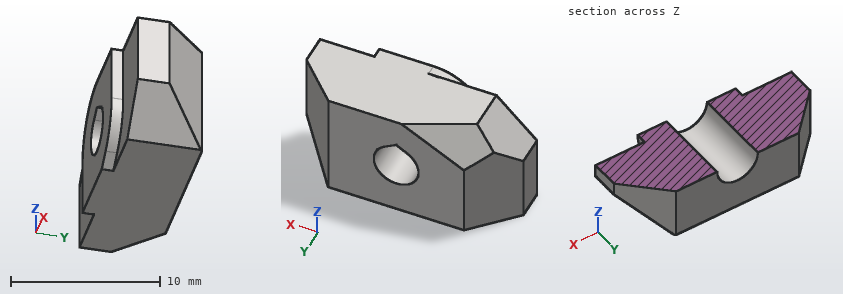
import cadquery as cq
import math

LENGTH = 16.0
HEIGHT = 8.0
BODY_DEPTH = 5.2
BOSS_DEPTH = 0.8

CORNER_CUT = 3.0
LOWER_CUT_LENGTH = 2.88
BACK_CHAMFER = 3.0
FACET_ALONG_X = 4.61
FACET_ALONG_Y = 2.12
FACET_ALONG_Z = 2.46

BOSS_RADIUS = HEIGHT / 2
BOSS_RAMP_ANGLE = 36.0
HOLE_RADIUS = 1.65
HOLE_ROOF_ANGLE = 30.0

HALF_LENGTH = LENGTH / 2
HALF_HEIGHT = HEIGHT / 2
BACK_Y = BODY_DEPTH
FLAT_BACK_HALF = HALF_LENGTH - BACK_CHAMFER
OVERCUT = 4.0
UPPER_LEFT_ARC_MIDDLE = 135.0


def circle_point(radius, angle):
    """Point on a circle about the hole axis, angle in degrees from +X."""
    return (radius * math.cos(math.radians(angle)), radius * math.sin(math.radians(angle)))


def extrude_along_y(outline, start_y, depth):
    """Extrude a closed XZ outline from start_y towards +Y."""
    return outline.extrude(-depth).translate((0, start_y, 0))


def make_body():
    face = cq.Workplane("XZ").polyline([
        (-HALF_LENGTH, -HALF_HEIGHT),
        (HALF_LENGTH - LOWER_CUT_LENGTH, -HALF_HEIGHT),
        (HALF_LENGTH, -HALF_HEIGHT + CORNER_CUT),
        (HALF_LENGTH, HALF_HEIGHT),
        (-HALF_LENGTH + CORNER_CUT, HALF_HEIGHT),
        (-HALF_LENGTH, HALF_HEIGHT - CORNER_CUT),
    ]).close()
    plan = cq.Workplane("XY").polyline([
        (-HALF_LENGTH, 0),
        (HALF_LENGTH, 0),
        (HALF_LENGTH, BACK_Y - BACK_CHAMFER),
        (FLAT_BACK_HALF, BACK_Y),
        (-FLAT_BACK_HALF, BACK_Y),
        (-HALF_LENGTH, BACK_Y - BACK_CHAMFER),
    ]).close().extrude(HALF_HEIGHT, both=True)
    return extrude_along_y(face, 0, BODY_DEPTH).intersect(plan)


def make_facet_cutter():
    """Wedge that removes the upper left back corner along one oblique plane."""
    tip_x = -FLAT_BACK_HALF + FACET_ALONG_X
    base = cq.Workplane("YZ", origin=(tip_x - OVERCUT * FACET_ALONG_X, 0, 0)).polyline([
        (BACK_Y, HALF_HEIGHT),
        (BACK_Y - OVERCUT * FACET_ALONG_Y, HALF_HEIGHT),
        (BACK_Y, HALF_HEIGHT - OVERCUT * FACET_ALONG_Z),
    ]).close().wire().val()
    tip = cq.Vector(tip_x, BACK_Y, HALF_HEIGHT)
    corners = [vertex.Center() for vertex in base.Vertices()]
    faces = [cq.Face.makeFromWires(base)]
    for index, corner in enumerate(corners):
        side = cq.Wire.makePolygon([corners[index - 1], corner, tip], close=True)
        faces.append(cq.Face.makeFromWires(side))
    return cq.Workplane(cq.Solid.makeSolid(cq.Shell.makeShell(faces)))


def make_boss():
    ramp_end_x = BOSS_RADIUS * math.tan(math.radians(BOSS_RAMP_ANGLE / 2))
    ramp_start_angle = BOSS_RAMP_ANGLE - 90
    outline = (
        cq.Workplane("XZ")
        .moveTo(-BOSS_RADIUS, -HALF_HEIGHT)
        .lineTo(ramp_end_x, -HALF_HEIGHT)
        .lineTo(*circle_point(BOSS_RADIUS, ramp_start_angle))
        .threePointArc(circle_point(BOSS_RADIUS, ramp_start_angle / 2), (BOSS_RADIUS, 0))
        .lineTo(BOSS_RADIUS, HALF_HEIGHT)
        .lineTo(0, HALF_HEIGHT)
        .threePointArc(circle_point(BOSS_RADIUS, UPPER_LEFT_ARC_MIDDLE), (-BOSS_RADIUS, 0))
        .close()
    )
    return extrude_along_y(outline, -BOSS_DEPTH, BOSS_DEPTH)


def make_hole():
    """Round hole whose top rises to a peak along two tangent lines."""
    peak_z = HOLE_RADIUS / math.cos(math.radians(HOLE_ROOF_ANGLE))
    outline = (
        cq.Workplane("XZ")
        .moveTo(0, peak_z)
        .lineTo(*circle_point(HOLE_RADIUS, 90 + HOLE_ROOF_ANGLE))
        .threePointArc((0, -HOLE_RADIUS), circle_point(HOLE_RADIUS, 90 - HOLE_ROOF_ANGLE))
        .close()
    )
    return extrude_along_y(outline, -BOSS_DEPTH, BOSS_DEPTH + BODY_DEPTH)


body = make_body().cut(make_facet_cutter())
result = body.union(make_boss()).cut(make_hole())